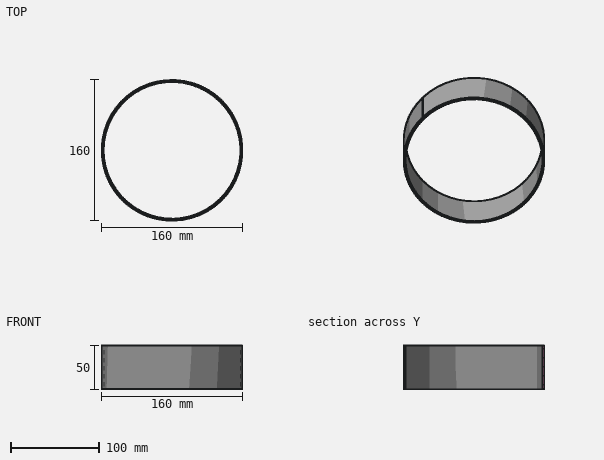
import cadquery as cq

OUTER_DIAMETER = 160.0
WALL = 2.5
HEIGHT = 50.0

OUTER_CHAMFER = 0.5
INNER_CHAMFER = 0.2

SLIT_ANGLE = 0.9

OUTER_RADIUS = OUTER_DIAMETER / 2
INNER_RADIUS = OUTER_RADIUS - WALL


def wall_section():
    """Chamfered cross-section of the wall, in the XZ plane on the -X side."""
    outer_x = -OUTER_RADIUS
    inner_x = -INNER_RADIUS
    points = [
        (outer_x, OUTER_CHAMFER),
        (outer_x + OUTER_CHAMFER, 0),
        (inner_x - INNER_CHAMFER, 0),
        (inner_x, INNER_CHAMFER),
        (inner_x, HEIGHT - INNER_CHAMFER),
        (inner_x - INNER_CHAMFER, HEIGHT),
        (outer_x + OUTER_CHAMFER, HEIGHT),
        (outer_x, HEIGHT - OUTER_CHAMFER),
    ]
    return cq.Workplane("XZ").polyline(points).close()


def make_split_ring():
    """Sweep the section around Z from -X through -Y, stopping short to leave the slit just on the +Y side."""
    return wall_section().revolve(360 - SLIT_ANGLE, (0, 0, 0), (0, 1, 0))


result = make_split_ring()